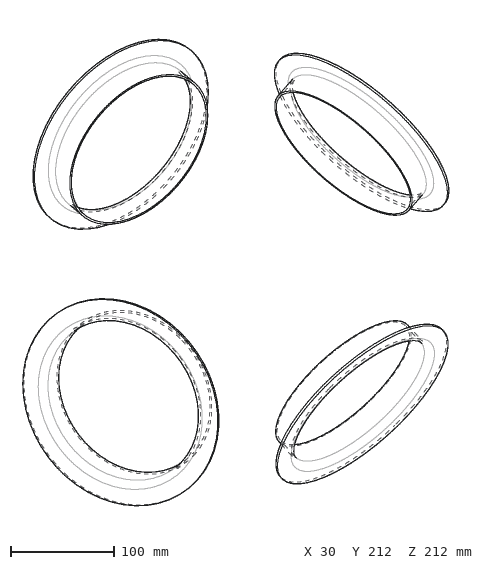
import cadquery as cq

flange_diameter = 212.0
tube_outer_diameter = 168.3
tube_inner_diameter = 164.3
overall_length = 30.0
flange_thickness = 2.5
inner_bend_radius = 7.0
outer_bend_radius = 5.0

flange_radius = flange_diameter / 2
tube_outer_radius = tube_outer_diameter / 2
tube_inner_radius = tube_inner_diameter / 2

section = (
    cq.Workplane("XY")
    .moveTo(0, flange_radius)
    .lineTo(0, tube_inner_radius + inner_bend_radius)
    .tangentArcPoint((inner_bend_radius, tube_inner_radius), relative=False)
    .lineTo(overall_length, tube_inner_radius)
    .lineTo(overall_length, tube_outer_radius)
    .lineTo(flange_thickness + outer_bend_radius, tube_outer_radius)
    .tangentArcPoint((flange_thickness, tube_outer_radius + outer_bend_radius), relative=False)
    .lineTo(flange_thickness, flange_radius)
    .close()
)

result = section.revolve(360, (0, 0, 0), (1, 0, 0))